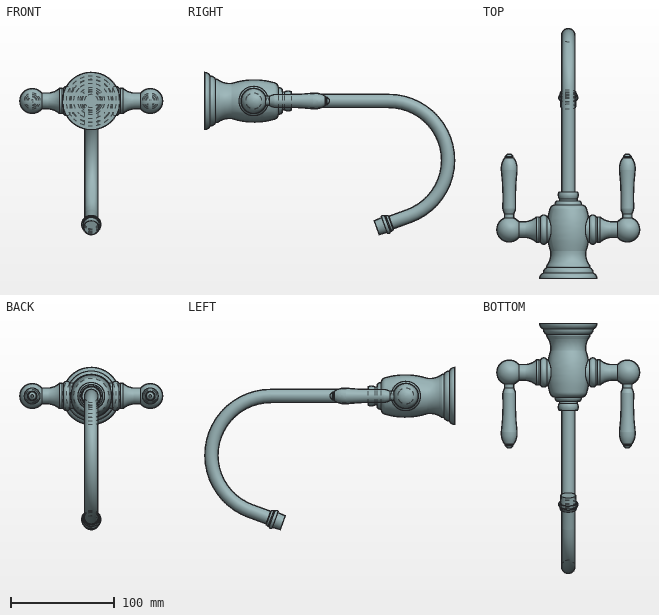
import cadquery as cq
import math


FOOT_RADIUS = 27.8
FOOT_STEP = (24.1, 5.3)
FOOT_TOP = (20.8, 10.6)
WAIST_BEAD_TOP = (20.5, 12.8)
WAIST_BOTTOM = (19.0, 15.2)
WAIST_MIDDLE = (17.1, 21.5)
BARREL_BOTTOM = (17.1, 26.3)
BARREL_MIDDLE = (20.5, 46.0)
BARREL_TOP = (17.9, 67.0)
SHOULDER_TOP = (14.0, 71.0)
CROWN_BOTTOM = (13.0, 71.2)
CROWN_TOP = (11.0, 75.0)
NECK_RADIUS = 8.7
NECK_BOTTOM = (NECK_RADIUS, CROWN_TOP[1])
NECK_TOP = (NECK_RADIUS, 77.0)
COLLAR_TOP = (9.0, 83.8)

FOOT_RIM_BULGE = 1.0
FOOT_STEP_BULGE = 1.0
WAIST_BEAD_BULGE = 0.36
SHOULDER_BULGE = 0.7
CROWN_BULGE = 0.5
COLLAR_BULGE = 1.0

ARM_Y = 47.3
BALL_RADIUS = 12.0
BALL_X = 57.0
ARM_ROD_RADIUS = 7.7
ARM_HUB_RADIUS = 12.3
ARM_BEAD_START = 20.5
ARM_BEAD_END = 26.8
ARM_BEAD_BULGE = 2.0
ARM_GROOVE_RADIUS = 12.0
ARM_GROOVE_END = 28.0
ARM_HUB_END = 30.7
ARM_FLARE_END = 41.0
ARM_FLARE_HOLLOW = 1.0

HANDLE_NECK_RADIUS = 4.5
HANDLE_NECK_TOP = (HANDLE_NECK_RADIUS, 15.2)
GRIP_BOTTOM = (6.3, 20.3)
GRIP_RING_TOP = (6.3, 21.7)
GRIP_MIDDLE = (6.5, 43.5)
GRIP_TOP = (7.7, 57.5)
DOME_MIDDLE = (7.2, 63.3)
DOME_TOP = (4.5, 69.0)
BUTTON_BOTTOM = (3.9, 69.5)
BUTTON_RIM = (3.9, 70.5)
BUTTON_TOP = (1.2, 73.0)
GRIP_FLARE_BULGE = 0.2
BUTTON_BULGE = 0.2

OVERALL_LENGTH = 241.5
BEND_RADIUS = 57.2
TUBE_RADIUS = 6.5
BEND_Y = OVERALL_LENGTH - BEND_RADIUS - TUBE_RADIUS
DROOP_ANGLE = 20.0

NOZZLE_LIP_START = (TUBE_RADIUS, 18.4)
NOZZLE_LIP_RIM = (7.5, 18.8)
NOZZLE_CONE_END = (8.2, 21.0)
NOZZLE_BEAD_START = (8.2, 22.2)
NOZZLE_BEAD_END = (9.0, 25.4)
NOZZLE_ROOT = (7.7, 25.4)
NOZZLE_TIP = (7.2, 33.3)
NOZZLE_BEAD_BULGE = 0.7


def outline(radius):
    """Start an outline at station 0 with a flat face of the given radius."""
    return cq.Workplane("XY").lineTo(radius, 0)


def turned(profile, top):
    """Close an outline back to the axis at station top and revolve it about +Y."""
    return profile.lineTo(0, top).close().revolve(360, (0, 0, 0), (0, 1, 0))


def make_body():
    profile = (
        outline(FOOT_RADIUS)
        .sagittaArc(FOOT_STEP, -FOOT_RIM_BULGE)
        .sagittaArc(FOOT_TOP, -FOOT_STEP_BULGE)
        .sagittaArc(WAIST_BEAD_TOP, -WAIST_BEAD_BULGE)
        .lineTo(*WAIST_BOTTOM)
        .threePointArc(WAIST_MIDDLE, BARREL_BOTTOM)
        .threePointArc(BARREL_MIDDLE, BARREL_TOP)
        .sagittaArc(SHOULDER_TOP, -SHOULDER_BULGE)
        .lineTo(*CROWN_BOTTOM)
        .sagittaArc(CROWN_TOP, -CROWN_BULGE)
        .lineTo(*NECK_BOTTOM)
        .lineTo(*NECK_TOP)
        .sagittaArc(COLLAR_TOP, -COLLAR_BULGE)
    )
    return turned(profile, COLLAR_TOP[1])


def make_arm():
    """Arm with its ball, pointing along +X from the body axis."""
    profile = (
        outline(ARM_HUB_RADIUS)
        .lineTo(ARM_HUB_RADIUS, ARM_BEAD_START)
        .sagittaArc((ARM_HUB_RADIUS, ARM_BEAD_END), -ARM_BEAD_BULGE)
        .lineTo(ARM_GROOVE_RADIUS, ARM_BEAD_END)
        .lineTo(ARM_GROOVE_RADIUS, ARM_GROOVE_END)
        .lineTo(ARM_HUB_RADIUS, ARM_GROOVE_END)
        .lineTo(ARM_HUB_RADIUS, ARM_HUB_END)
        .sagittaArc((ARM_ROD_RADIUS, ARM_FLARE_END), ARM_FLARE_HOLLOW)
        .lineTo(ARM_ROD_RADIUS, BALL_X)
    )
    rod = turned(profile, BALL_X).rotate((0, 0, 0), (0, 0, 1), -90)
    ball = cq.Workplane("XY").sphere(BALL_RADIUS).translate((BALL_X, 0, 0))
    return rod.union(ball).translate((0, ARM_Y, 0))


def make_handle():
    profile = (
        outline(HANDLE_NECK_RADIUS)
        .lineTo(*HANDLE_NECK_TOP)
        .sagittaArc(GRIP_BOTTOM, -GRIP_FLARE_BULGE)
        .lineTo(*GRIP_RING_TOP)
        .threePointArc(GRIP_MIDDLE, GRIP_TOP)
        .threePointArc(DOME_MIDDLE, DOME_TOP)
        .lineTo(*BUTTON_BOTTOM)
        .lineTo(*BUTTON_RIM)
        .sagittaArc(BUTTON_TOP, -BUTTON_BULGE)
    )
    return turned(profile, BUTTON_TOP[1]).translate((BALL_X, ARM_Y, 0))


def make_spout():
    """Straight tube, then a bend that turns back until it droops by DROOP_ANGLE."""
    start_y = NECK_TOP[1]
    tube = cq.Workplane("XZ", origin=(0, start_y, 0)).circle(TUBE_RADIUS).extrude(start_y - BEND_Y)
    bend = (
        cq.Workplane("XZ", origin=(0, BEND_Y, 0))
        .circle(TUBE_RADIUS)
        .revolve(180 - DROOP_ANGLE, (2.5, -BEND_RADIUS, 0), (0, -BEND_RADIUS, 0))
    )
    return tube.union(bend)


def make_nozzle():
    """Drooping end of the spout with its collar and tapered outlet."""
    profile = (
        outline(TUBE_RADIUS)
        .lineTo(*NOZZLE_LIP_START)
        .lineTo(*NOZZLE_LIP_RIM)
        .lineTo(*NOZZLE_CONE_END)
        .lineTo(*NOZZLE_BEAD_START)
        .sagittaArc(NOZZLE_BEAD_END, -NOZZLE_BEAD_BULGE)
        .lineTo(*NOZZLE_ROOT)
        .lineTo(*NOZZLE_TIP)
    )
    droop = math.radians(DROOP_ANGLE)
    end_y = BEND_Y + BEND_RADIUS * math.sin(droop)
    end_z = -BEND_RADIUS * (1 + math.cos(droop))
    return (
        turned(profile, NOZZLE_TIP[1])
        .rotate((0, 0, 0), (1, 0, 0), DROOP_ANGLE - 180)
        .translate((0, end_y, end_z))
    )


side = make_arm().union(make_handle())
result = (
    make_body()
    .union(side)
    .union(side.mirror("YZ"))
    .union(make_spout())
    .union(make_nozzle())
)